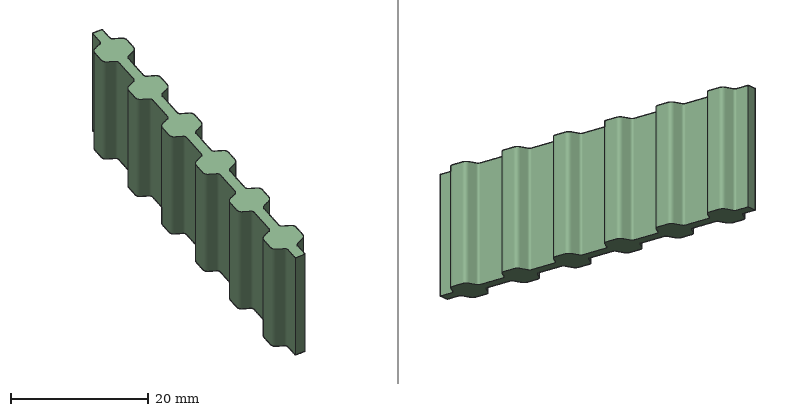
import cadquery as cq
import math

tooth_count = 6
belt_length = 57.15
belt_thickness = 5.5
belt_width = 19.05

web_thickness = 1.65
tooth_root_width = 4.7
flank_angle = 25.0
tip_radius = 0.85
root_radius = 0.5
position_tolerance = 5.72e-05

tooth_pitch = belt_length / tooth_count
tooth_height = (belt_thickness - web_thickness) / 2
tooth_tip_width = tooth_root_width - 2 * tooth_height * math.tan(math.radians(flank_angle))
tooth_centres = [(i + 0.5) * tooth_pitch - belt_length / 2 for i in range(tooth_count)]


def tooth_face(side):
    """Sharp-cornered outline of one toothed face, left to right; side is +1 or -1 along Y."""
    root_y = side * web_thickness / 2
    tip_y = side * belt_thickness / 2
    points = [(-belt_length / 2, root_y)]
    for x in tooth_centres:
        points.append((x - tooth_root_width / 2, root_y))
        points.append((x - tooth_tip_width / 2, tip_y))
        points.append((x + tooth_tip_width / 2, tip_y))
        points.append((x + tooth_root_width / 2, root_y))
    points.append((belt_length / 2, root_y))
    return points


def is_tip(edge):
    return math.isclose(abs(edge.Center().y), belt_thickness / 2, abs_tol=position_tolerance)


def is_root(edge):
    centre = edge.Center()
    on_web = math.isclose(abs(centre.y), web_thickness / 2, abs_tol=position_tolerance)
    at_belt_end = math.isclose(abs(centre.x), belt_length / 2, abs_tol=position_tolerance)
    return on_web and not at_belt_end


outline = tooth_face(1) + tooth_face(-1)[::-1]
sharp_belt = cq.Workplane("XY").polyline(outline).close().extrude(belt_width)

tips = [edge for edge in sharp_belt.edges("|Z").vals() if is_tip(edge)]
rounded_belt = sharp_belt.newObject(tips).fillet(tip_radius)
roots = [edge for edge in rounded_belt.edges("|Z").vals() if is_root(edge)]
result = rounded_belt.newObject(roots).fillet(root_radius)